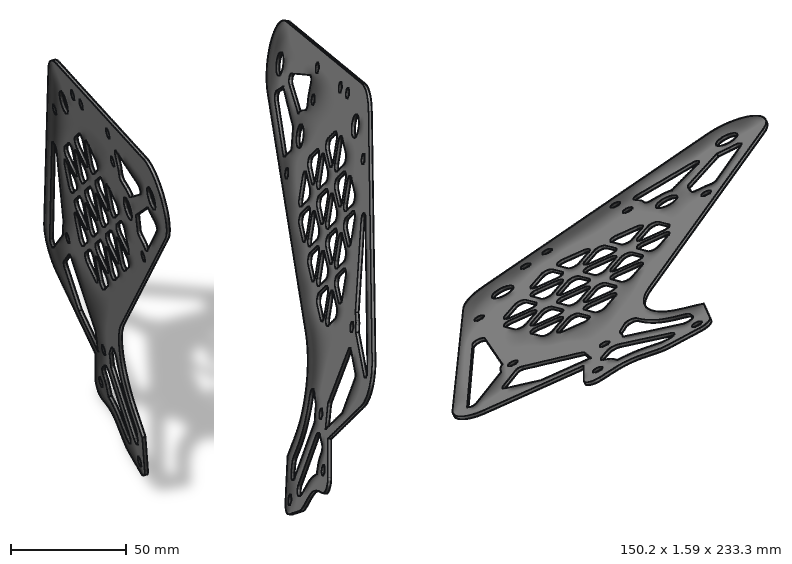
import cadquery as cq
import math

THICKNESS = 1.59

LARGE_HOLE_DIAMETER = 10.3
SMALL_HOLE_DIAMETER = 4.7
TIP_HOLE = (56.0, 97.7)
NECK_HOLE = (27.3, 56.0)
SHOULDER_HOLE = (-51.0, 36.0)
UPPER_POCKET_HOLE = (8.6, 66.7)
RIGHT_EDGE_HOLE = (46.2, 45.0)
LEFT_POCKET_HOLE = (-46.2, -53.6)
FOOT_TOP_HOLE = (-2.3, -79.3)
FOOT_LEFT_HOLE = (-5.5, -105.9)
FOOT_RIGHT_HOLE = (41.7, -104.5)
LARGE_HOLES = [TIP_HOLE, NECK_HOLE, SHOULDER_HOLE]
SMALL_HOLES = [
    UPPER_POCKET_HOLE,
    RIGHT_EDGE_HOLE,
    LEFT_POCKET_HOLE,
    FOOT_TOP_HOLE,
    FOOT_LEFT_HOLE,
    FOOT_RIGHT_HOLE,
    (2.8, 79.3),
    (-29.8, 60.2),
    (-40.0, 54.3),
    (-62.3, 17.5),
]

LARGE_CLEARANCE = 11.2
SMALL_CLEARANCE = 8.6
TIGHT_CLEARANCE = 7.7
LEFT_CLEARANCE = 6.0

RIM_WIDTH = 6.8
CORNER_RADIUS = 19.0
FOOT_CORNER_RADIUS = 6.3
WAIST_CENTRE = (49.0, -49.0)
WAIST_RADIUS = 32.6
ARCH_CENTRE = (10.3, -129.7)
ARCH_RADIUS = 18.7
BUMP_CENTRE = (25.7, -102.4)
BUMP_RADIUS = 11.7

CELL_SIDE = 25.5
CELL_HEIGHT = CELL_SIDE * math.sqrt(3) / 2
LATTICE_X = -17.3
WEB_WIDTH = 3.0
CELL_CORNER_RADIUS = 3.0
LATTICE_ROWS = [(-1, 3), (-2, 3), (-2, 2), (-1, 1)]


def disc(centre, radius):
    """One corner of a loop: positive radius is convex, negative concave, zero sharp."""
    return (*centre, radius)


def tangent_normal(start, end):
    """Angle of the left-hand normal of the line that is tangent to two corner discs."""
    dx = end[0] - start[0]
    dz = end[1] - start[1]
    tilt = math.asin((start[2] - end[2]) / math.hypot(dx, dz))
    return math.atan2(dz, dx) + math.pi / 2 - tilt


def on_disc(corner, angle):
    x, z, radius = corner
    return (x + radius * math.cos(angle), z + radius * math.sin(angle))


def tangent_loop(corners):
    """Solid plate bounded by a clockwise loop of corner arcs joined by tangent lines."""
    count = len(corners)
    normals = [tangent_normal(corners[i], corners[(i + 1) % count]) for i in range(count)]
    loop = cq.Workplane("XZ").moveTo(*on_disc(corners[0], normals[0]))
    for i in range(1, count + 1):
        corner = corners[i % count]
        arriving = normals[i - 1]
        leaving = normals[i % count]
        turn = math.remainder(leaving - arriving, 2 * math.pi)
        loop = loop.lineTo(*on_disc(corner, arriving))
        if corner[2] != 0:
            loop = loop.threePointArc(on_disc(corner, arriving + turn / 2), on_disc(corner, leaving))
    return loop.close().extrude(THICKNESS / 2, both=True)


def plate():
    return tangent_loop([
        disc(TIP_HOLE, CORNER_RADIUS),
        disc(WAIST_CENTRE, -WAIST_RADIUS),
        (45.0, -83.7, 0),
        disc(FOOT_RIGHT_HOLE, FOOT_CORNER_RADIUS),
        disc(BUMP_CENTRE, BUMP_RADIUS),
        disc(ARCH_CENTRE, -ARCH_RADIUS),
        (-7.0, -111.2, 5.4),
        (-12.4, -93.7, 0),
        (-60.0, -78.5, 15.2),
        disc(SHOULDER_HOLE, CORNER_RADIUS),
    ])


def holes(centres, diameter):
    return cq.Workplane("XZ").pushPoints(centres).circle(diameter / 2).extrude(THICKNESS / 2, both=True)


def upper_left_pocket():
    return tangent_loop([
        (40.3, 85.8, 2.5),
        (29.8, 67.0, 0),
        disc(NECK_HOLE, -LARGE_CLEARANCE),
        (19.0, 67.6, 2.3),
        disc(UPPER_POCKET_HOLE, -TIGHT_CLEARANCE),
        (14.0, 76.7, 2.5),
    ])


def upper_right_pocket():
    return tangent_loop([
        (51.3, 86.0, 0),
        disc(TIP_HOLE, -LARGE_CLEARANCE),
        (60.6, 84.5, 2.5),
        (48.7, 56.0, 2.5),
        disc(RIGHT_EDGE_HOLE, -SMALL_CLEARANCE),
        (40.8, 55.0, 1.6),
        (39.5, 63.0, 2.0),
    ])


def left_pocket():
    return tangent_loop([
        (-62.5, -10.3, 3.0),
        (-51.3, -48.5, 0),
        disc(LEFT_POCKET_HOLE, -LEFT_CLEARANCE),
        (-51.8, -57.8, 0),
        (-65.8, -80.5, 2.3),
    ])


def lower_pocket():
    return tangent_loop([
        (-42.7, -64.4, 2.3),
        (-14.2, -79.3, 2.3),
        (-8.9, -88.4, 0),
        (-32.6, -88.4, 0),
        (-49.2, -77.0, 2.0),
    ])


def foot_upper_pocket():
    return tangent_loop([
        (10.3, -67.5, 3.3),
        disc(WAIST_CENTRE, -WAIST_RADIUS - RIM_WIDTH),
        (34.5, -90.5, 4.2),
        (36.5, -93.7, 3.3),
        (7.5, -79.8, 1.0),
        disc(FOOT_TOP_HOLE, -SMALL_CLEARANCE),
        (6.0, -73.0, 1.2),
    ])


def foot_lower_pocket():
    return tangent_loop([
        (2.5, -90.7, 4.2),
        (28.0, -104.0, 3.0),
        disc(BUMP_CENTRE, BUMP_RADIUS - RIM_WIDTH),
        disc(ARCH_CENTRE, -ARCH_RADIUS - RIM_WIDTH),
        (3.7, -104.7, 0),
        disc(FOOT_LEFT_HOLE, -SMALL_CLEARANCE),
        (-1.5, -95.0, 2.8),
    ])


def lattice_opening(x, z, points_up):
    """Rounded triangle around the cell centre (x, z)."""
    inner_radius = CELL_HEIGHT / 3 - WEB_WIDTH / 2
    corner_distance = 2 * (inner_radius - CELL_CORNER_RADIUS)
    first_angle = 90 if points_up else -90
    corners = []
    for step in range(3):
        angle = math.radians(first_angle - 120 * step)
        corners.append(on_disc((x, z, corner_distance), angle) + (CELL_CORNER_RADIUS,))
    return tangent_loop(corners)


def lattice():
    openings = cq.Workplane("XZ")
    for row, (first, last) in enumerate(LATTICE_ROWS):
        row_bottom = (len(LATTICE_ROWS) / 2 - 1 - row) * CELL_HEIGHT
        for column in range(first, last + 1):
            points_up = (row + column) % 2 == 1
            centre_height = CELL_HEIGHT / 3 if points_up else CELL_HEIGHT * 2 / 3
            x = LATTICE_X + column * CELL_SIDE / 2
            openings = openings.add(lattice_opening(x, row_bottom + centre_height, points_up))
    return openings.combine()


result = plate()
for pocket in (
    upper_left_pocket,
    upper_right_pocket,
    left_pocket,
    lower_pocket,
    foot_upper_pocket,
    foot_lower_pocket,
    lattice,
):
    result = result.cut(pocket())
result = result.cut(holes(LARGE_HOLES, LARGE_HOLE_DIAMETER))
result = result.cut(holes(SMALL_HOLES, SMALL_HOLE_DIAMETER))